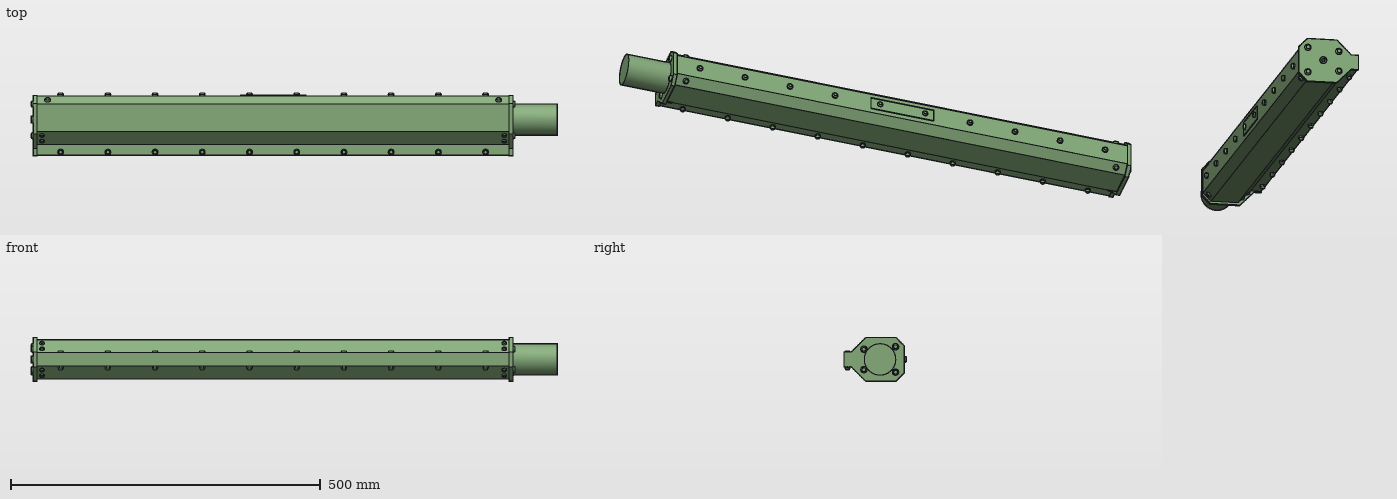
import cadquery as cq
import math

overall_length = 849.52
overall_width = 101.53
plate_height = 71.12
plate_thickness = 6.35
body_length = 762.0

small_head = (7.6, 2.2)
medium_head = (9.5, 2.75)
large_head = (10.5, 3.3)
washer_diameter = 9.0
washer_thickness = 2.0

crown_ratio = 0.6
dome_bulge = 0.1

plate_nose_proud = 0.8
plate_back_proud = 1.0
plate_nose_y = -58.5
body_nose_y = plate_nose_y + plate_nose_proud
body_back_y = plate_nose_y + overall_width - medium_head[1] - washer_thickness
plate_back_y = body_back_y + plate_back_proud

body_half_height = 32.0
nose_half_height = 11.0
body_front_flat_y = -19.5
body_back_chamfer = 13.3

plate_half_height = plate_height / 2
plate_front_flat_y = -23.0
plate_nose_half_height = 12.0
plate_back_chamfer = 13.5

bolt_count = 10
bolt_pitch = 76.2
nose_bolt_y = -52.5
nut_across_corners = 9.0
nut_height = 2.5
nut_cap = (7.6, 3.5)

name_plate_length = 106.0
name_plate_height = 22.0
name_plate_thickness = 1.5

front_slope_inset = 8.0
front_slope_spacing = 13.0
back_slope_inset = 17.0

end_screw_points = [(25.0, 20.5), (-26.0, 16.5)]
boss_diameter = 11.0
boss_bore = 5.0

tube_diameter = 50.8

left_plate_x = 0.0
body_start_x = left_plate_x + plate_thickness
body_end_x = body_start_x + body_length
right_plate_x = body_end_x + plate_thickness
tube_end_x = left_plate_x - large_head[1] + overall_length
body_middle_x = (body_start_x + body_end_x) / 2
bolt_stations = [body_middle_x + (i - (bolt_count - 1) / 2) * bolt_pitch for i in range(bolt_count)]


def section_prism(start_x, length, nose_y, back_y, half_height, front_flat_y, nose_half, chamfer):
    """Octagon-like section with a narrow nose on -Y, extruded along +X."""
    slope_foot_y = front_flat_y - (half_height - nose_half)
    upper = [
        (nose_y, nose_half),
        (slope_foot_y, nose_half),
        (front_flat_y, half_height),
        (back_y - chamfer, half_height),
        (back_y, half_height - chamfer),
    ]
    lower = [(y, -z) for y, z in reversed(upper)]
    return cq.Workplane("YZ").polyline(upper + lower).close().extrude(length).translate((start_x, 0, 0))


def rod(base, direction, diameter, height):
    """Cylinder standing on a base point."""
    return cq.Workplane(cq.Solid.makeCylinder(diameter / 2, height, cq.Vector(*base), cq.Vector(*direction)))


def button_head(base, direction, size):
    """Domed screw head standing on a base point."""
    diameter, height = size
    plane = cq.Plane(origin=base, normal=direction)
    rim = diameter / 2
    crown = rim * crown_ratio
    shoulder = ((rim + crown) / 2 + height * dome_bulge, height / 2 + height * dome_bulge)
    profile = (
        cq.Workplane("XZ").moveTo(0, 0).lineTo(rim, 0)
        .threePointArc(shoulder, (crown, height))
        .lineTo(0, height).close()
    )
    head = profile.revolve(360, (0, 0, 0), (0, 1, 0))
    return cq.Workplane(head.val().moved(cq.Location(plane)))


def nose_bolts():
    """Bolts through the nose: head on top, domed cap nut below."""
    parts = []
    for x in bolt_stations:
        parts.append(button_head((x, nose_bolt_y, nose_half_height), (0, 0, 1), medium_head))
        nut = cq.Workplane("XY").polygon(6, nut_across_corners).extrude(-nut_height)
        parts.append(nut.translate((x, nose_bolt_y, -nose_half_height)))
        cap_base = (x, nose_bolt_y, -nose_half_height - nut_height)
        parts.append(button_head(cap_base, (0, 0, -1), nut_cap))
    return parts


def back_bolts():
    """Washers and button heads in a row along the back face."""
    parts = []
    for x in bolt_stations:
        parts.append(rod((x, body_back_y, 0), (0, 1, 0), washer_diameter, washer_thickness))
        parts.append(button_head((x, body_back_y + washer_thickness, 0), (0, 1, 0), medium_head))
    return parts


def slope_screws():
    """Two screws on each front slope and one on each back slope, at both ends."""
    parts = []
    slope_drop = body_half_height - nose_half_height
    front_middle = (body_front_flat_y - slope_drop / 2, body_half_height - slope_drop / 2)
    back_middle = (body_back_y - body_back_chamfer / 2, body_half_height - body_back_chamfer / 2)
    step = front_slope_spacing / 2 * math.sqrt(0.5)
    for side in (1, -1):
        for x in (body_start_x + front_slope_inset, body_end_x - front_slope_inset):
            for shift in (step, -step):
                base = (x, front_middle[0] + shift, side * (front_middle[1] + shift))
                parts.append(button_head(base, (0, -1, side), small_head))
        for x in (body_start_x + back_slope_inset, body_end_x - back_slope_inset):
            base = (x, back_middle[0], side * back_middle[1])
            parts.append(button_head(base, (0, 1, side), medium_head))
    return parts


def end_screws():
    """Four screw heads on the outer face of each end plate."""
    parts = []
    for y, z in end_screw_points:
        for side in (1, -1):
            parts.append(button_head((left_plate_x, y, side * z), (-1, 0, 0), large_head))
            parts.append(button_head((right_plate_x, y, side * z), (1, 0, 0), large_head))
    return parts


def name_plate():
    """Thin rectangular plate at the middle of the back face."""
    plate = cq.Workplane("XY").box(name_plate_length, name_plate_thickness, name_plate_height)
    return plate.translate((body_middle_x, body_back_y + name_plate_thickness / 2, 0))


def center_boss():
    """Bored boss on the left end plate, on the tube axis."""
    boss = rod((left_plate_x, 0, 0), (-1, 0, 0), boss_diameter, large_head[1])
    return boss.cut(rod((left_plate_x, 0, 0), (-1, 0, 0), boss_bore, large_head[1]))


body_section = (
    body_nose_y, body_back_y, body_half_height, body_front_flat_y, nose_half_height, body_back_chamfer
)
plate_section = (
    plate_nose_y, plate_back_y, plate_half_height,
    plate_front_flat_y, plate_nose_half_height, plate_back_chamfer,
)
result = section_prism(body_start_x, body_length, *body_section)
for plate_x in (left_plate_x, body_end_x):
    result = result.union(section_prism(plate_x, plate_thickness, *plate_section))
result = result.union(rod((right_plate_x, 0, 0), (1, 0, 0), tube_diameter, tube_end_x - right_plate_x))
fittings = nose_bolts() + back_bolts() + slope_screws() + end_screws() + [name_plate(), center_boss()]
for fitting in fittings:
    result = result.union(fitting)